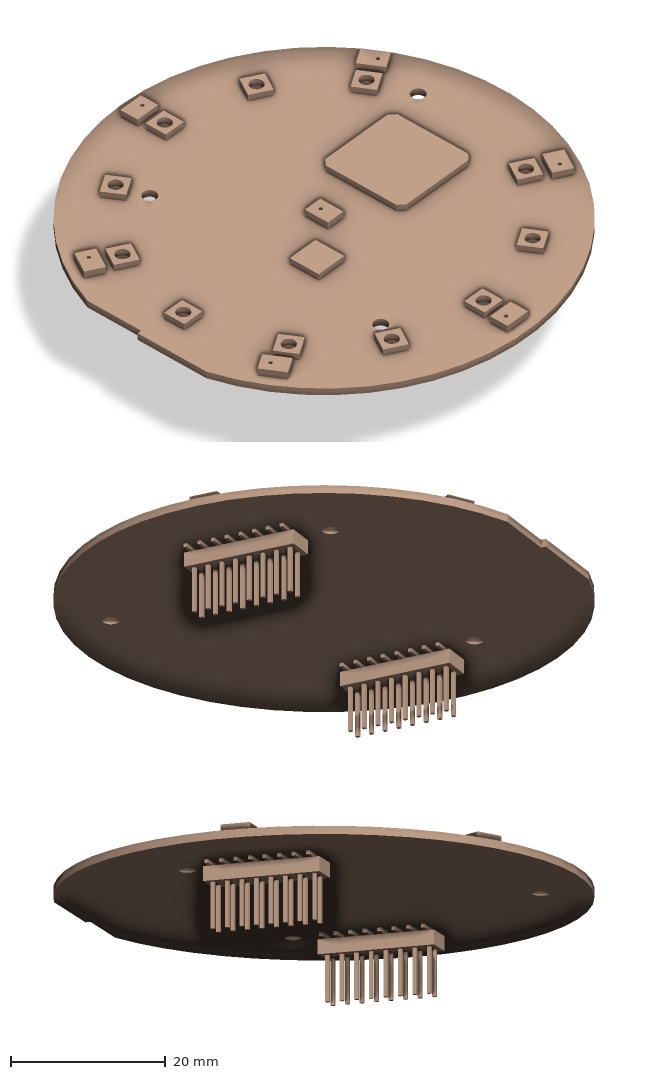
import cadquery as cq
import math

board_radius = 35.0
board_thickness = 1.1
edge_flat_y = -33.69
notch_flat_y = -33.0
step_x = -2.4

mount_hole_diameter = 2.2
mount_holes = [(23.0, 210.0), (23.0, 330.0), (28.15, 105.9)]

led_ring_radius = 27.5
led_size = 3.5
led_height = 1.05
led_lens_diameter = 2.1
led_count = 12
led_pitch_angle = 360 / led_count
led_empty_place = 3
led_shifted_place = 10
led_shift_angle = 1.9

mic_ring_radius = 31.9
mic_count = 6
mic_pitch_angle = 360 / mic_count
mic_length = 4.0
mic_width = 3.0
mic_height = 1.2
mic_port_diameter = 0.6
mic_port_offset = 0.6

chip_height = led_height
processor_size = 14.0
processor_corner = 0.9
processor_center = (0.0, 14.2)
small_chip_size = 5.0
small_chip_center = (5.5, -7.6)

total_height = 11.0
header_center_x = 21.55
header_rows = 8
pin_pitch = 2.0
header_width = 2 * pin_pitch
header_length = header_rows * pin_pitch
header_height = 2.0
pin_size = 0.5
foot_thickness = 0.5
foot_inner = 0.75
foot_outer = 3.55


def block(length, width, height):
    """Block centred in X and Y, standing on z = 0."""
    return cq.Workplane("XY").box(length, width, height, centered=(True, True, False))


def place_on_ring(body, radius, angle, rotation):
    """Turn a body about its own axis, then move it to a polar position."""
    turn = math.radians(angle)
    offset = (radius * math.cos(turn), radius * math.sin(turn), 0)
    return body.rotate((0, 0, 0), (0, 0, 1), rotation).translate(offset)


def flat_cutter(start_x, end_x, flat_y):
    """Block covering the board rim below flat_y between two X positions."""
    cutter = block(end_x - start_x, flat_y + board_radius, board_thickness)
    return cutter.translate(((start_x + end_x) / 2, (flat_y - board_radius) / 2, -board_thickness))


def make_board():
    board = cq.Workplane("XY").circle(board_radius).extrude(-board_thickness)
    board = board.cut(flat_cutter(-board_radius, step_x, notch_flat_y))
    board = board.cut(flat_cutter(step_x, board_radius, edge_flat_y))
    for radius, angle in mount_holes:
        hole = cq.Workplane("XY").circle(mount_hole_diameter / 2).extrude(-board_thickness)
        board = board.cut(place_on_ring(hole, radius, angle, 0))
    return board


def make_led():
    body = block(led_size, led_size, led_height)
    return body.faces(">Z").workplane().hole(led_lens_diameter)


def make_mic():
    """Microphone with its width along X and its sound port towards -Y."""
    body = block(mic_width, mic_length, mic_height)
    return body.faces(">Z").workplane().center(0, -mic_port_offset).hole(mic_port_diameter)


def make_leds():
    leds = []
    for place in range(led_count):
        if place == led_empty_place:
            continue
        rotation = place * led_pitch_angle
        angle = rotation
        if place == led_shifted_place:
            angle += led_shift_angle
        leds.append(place_on_ring(make_led(), led_ring_radius, angle, rotation))
    return leds


def make_mics():
    mics = [place_on_ring(make_mic(), 0, 0, -90)]
    for place in range(mic_count):
        angle = place * mic_pitch_angle
        mics.append(place_on_ring(make_mic(), mic_ring_radius, angle, angle))
    return mics


def make_chips():
    processor = block(processor_size, processor_size, chip_height)
    processor = processor.edges("|Z").chamfer(processor_corner)
    small_chip = block(small_chip_size, small_chip_size, chip_height)
    return [
        processor.translate((*processor_center, 0)),
        small_chip.translate((*small_chip_center, 0)),
    ]


def make_header():
    """Two-row header centred on X = Y = 0, below the board."""
    foot_bottom = -board_thickness - foot_thickness
    header_bottom = foot_bottom - header_height
    pin_length = total_height - mic_height + header_bottom
    header = block(header_width, header_length, header_height).translate((0, 0, header_bottom))
    foot = block(foot_outer - foot_inner, pin_size, foot_thickness)
    pin = block(pin_size, pin_size, pin_length)
    for row in range(header_rows):
        y = (row - (header_rows - 1) / 2) * pin_pitch
        for side in (-1, 1):
            foot_x = side * (foot_inner + foot_outer) / 2
            header = header.union(foot.translate((foot_x, y, foot_bottom)))
            header = header.union(pin.translate((side * pin_pitch / 2, y, header_bottom - pin_length)))
    return header


result = make_board()
for part in make_leds() + make_mics() + make_chips():
    result = result.union(part)
for header_x in (-header_center_x, header_center_x):
    result = result.union(make_header().translate((header_x, 0, 0)))